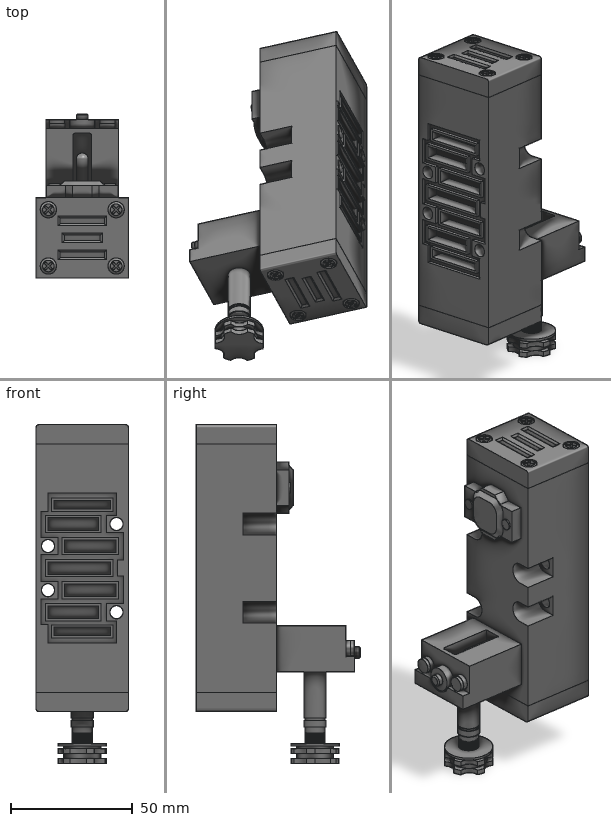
import cadquery as cq
import math

body_width = 38.0
body_depth = 33.2
body_height = 118.0
total_height = 139.4
cap_height = 8.0
cap_edge_radius = 1.3
half_height = body_height / 2
housing_height = body_height - 2 * cap_height

cap_screw_x = 14.0
cap_screw_y = (5.0, 28.1)
cap_screw_recess_radius = 3.3
cap_screw_head_radius = 2.4
cap_screw_depth = 0.7
cross_slot_width = 0.8
cross_slot_length = 3.9
cross_slot_depth = 0.7
label_pockets = [(19.8, 23.5), (16.5, 16.6), (19.8, 9.6)]
label_pocket_width = 3.9
label_pocket_depth = 0.8
label_pocket_taper = 45

row_pitch = 9.0
groove_depth = 1.5
groove_top = 30.8
groove_narrow_x = 14.1
groove_wide_x = 16.9
groove_step_z = 23.3
island_half_height = 3.55
island_inner_x = 9.9
notch_x = 14.5
notch_half_height = 3.3
port_depth = 5.6
frame_wall = 1.0
frame_height = 7.1
end_frame_z = 26.0
end_frame_height = 5.5
end_frame_x = 12.5
left_frame_x = (-15.0, 7.7)
right_frame_x = (-8.2, 14.9)
middle_frame_x = (-15.0, 12.7)
mount_hole_x = 14.1
mount_hole_radius = 2.6
scallop_radius = 4.5
scallop_depth = 13.8
right_hole_z = (2 * row_pitch, -2 * row_pitch)
left_hole_z = (row_pitch, -row_pitch)

cover_z = 33.0
cover_thickness = 5.0
cover_half_width = 14.6
cover_ear_half_height = 7.2
cover_half_height = 10.6
cover_lobe_flat = 4.0
cover_lobe_base = 7.0
crown_base_width = 18.4
crown_base_radius = 5.5
crown_top_width = 14.5
crown_top_radius = 4.6
crown_height = 1.8
cover_screw_x = 11.4
cover_screw_radius = 2.2
cover_screw_height = 0.7

block_half_width = 14.9
block_top_z = -23.7
block_bottom_z = -42.6
block_depth = 28.4
ledge_depth = 3.6
ledge_top_z = -36.4
block_slot_width = 7.5
block_slot_start = 2.8
block_slot_end = 26.5
block_slot_depth = 11.1
block_slot_corner = 1.0
pin_z = -28.8
pin_radius = 2.44
pin_length = 15.9
boss_z = -34.7
boss_radius = 5.0
boss_clearance = 0.5
button_radius = 2.4
button_height = 2.4
button_chamfer = 0.5
block_screw_x = 10.3
block_screw_z = -32.9
block_washer_radius = 3.2
block_washer_height = 2.0
block_screw_radius = 3.0
block_screw_height = 1.4

connector_y = body_depth + 15.7
connector_bottom_z = half_height - total_height
sleeve_radius = 4.6
sleeve_bottom_z = -61.6
sleeve_groove_width = 1.0
collar_height = 2.8
neck_radius = 4.2
thread_top_z = -67.7
thread_root_radius = 3.6
thread_pitch = 0.8
thread_count = 5
flange_radius = 9.96
flange_top_z = -72.2
flange_height = 1.0
knob_core_radius = 7.7
knob_plate_height = 2.1
knob_plate_gap = 2.0
knob_lobe_count = 6
knob_lobe_half_angle = 10
knob_lobe_angle = 20


def plate(width, z_min, z_max, y_min, y_max):
    """Box centred on X between the given Y and Z limits."""
    return (
        cq.Workplane("XY")
        .box(width, y_max - y_min, z_max - z_min, centered=(True, False, False))
        .translate((0, y_min, z_min))
    )


def rod_y(x, z, y_start, radius, length):
    """Cylinder running in +Y from y_start."""
    axis = cq.Vector(0, 1, 0)
    return cq.Workplane(cq.Solid.makeCylinder(radius, length, cq.Vector(x, y_start, z), axis))


def disc_z(z_bottom, radius, height):
    """Cylinder on the connector axis."""
    return cq.Workplane("XY", origin=(0, connector_y, z_bottom)).circle(radius).extrude(height)


def front_prism(outline, y_start, depth):
    """Closed XZ outline extruded in +Y from y_start."""
    return cq.Workplane("XZ", origin=(0, y_start, 0)).polyline(outline).close().extrude(-depth)


def front_box(x_limits, z, height, depth):
    """Box sunk from the port face, centred on height z."""
    x_min, x_max = x_limits
    box = cq.Workplane("XY").box(x_max - x_min, depth, height, centered=(False, False, True))
    return box.translate((x_min, 0, z))


def port_frames():
    """X limits, centre height and height of every rectangular port frame."""
    frames = [(middle_frame_x, 0, frame_height)]
    for side in (1, -1):
        frames.append((right_frame_x, side * row_pitch, frame_height))
        frames.append((left_frame_x, side * 2 * row_pitch, frame_height))
        frames.append(((-end_frame_x, end_frame_x), side * end_frame_z, end_frame_height))
    return frames


def gasket_groove():
    """Stepped recess of the port face, leaving the frames and hole islands standing."""
    right_half = [
        (groove_narrow_x, groove_top),
        (groove_narrow_x, 2 * row_pitch + island_half_height),
        (island_inner_x, 2 * row_pitch + island_half_height),
        (island_inner_x, 2 * row_pitch - island_half_height),
        (groove_wide_x, 2 * row_pitch - island_half_height),
        (groove_wide_x, notch_half_height),
        (notch_x, notch_half_height),
    ]
    left_half = [
        (-groove_narrow_x, groove_top),
        (-groove_narrow_x, groove_step_z),
        (-groove_wide_x, groove_step_z),
        (-groove_wide_x, row_pitch + island_half_height),
        (-island_inner_x, row_pitch + island_half_height),
        (-island_inner_x, row_pitch - island_half_height),
        (-groove_wide_x, row_pitch - island_half_height),
    ]
    right_side = right_half + [(x, -z) for x, z in reversed(right_half)]
    left_side = [(x, -z) for x, z in left_half] + left_half[::-1]
    groove = front_prism(right_side + left_side, 0, groove_depth)
    for x_limits, z, height in port_frames():
        groove = groove.cut(front_box(x_limits, z, height, groove_depth))
    return groove


def port_pocket(x_limits, z, height):
    inner_x = (x_limits[0] + frame_wall, x_limits[1] - frame_wall)
    return front_box(inner_x, z, height - 2 * frame_wall, port_depth)


def mounting_hole(side, z):
    """Through hole with a round-ended scallop that opens to the side and the back."""
    x = side * mount_hole_x
    scallop_start = body_depth - scallop_depth
    opening = body_width / 2 - mount_hole_x
    slot = cq.Workplane("XY").box(opening, scallop_depth, 2 * scallop_radius, centered=(True, False, True))
    slot = slot.translate((x + side * opening / 2, scallop_start, z))
    hole = rod_y(x, z, 0, mount_hole_radius, body_depth)
    return hole.union(rod_y(x, z, scallop_start, scallop_radius, scallop_depth)).union(slot)


def make_housing():
    housing = plate(body_width, -housing_height / 2, housing_height / 2, 0, body_depth)
    housing = housing.cut(gasket_groove())
    for x_limits, z, height in port_frames():
        housing = housing.cut(port_pocket(x_limits, z, height))
    for side, heights in ((1, right_hole_z), (-1, left_hole_z)):
        for z in heights:
            housing = housing.cut(mounting_hole(side, z))
    return housing


def cap_screw_cut(x, y):
    """Ring recess around a screw head with a sloping flank, and the cross slot in the head."""
    flank = [
        (cap_screw_head_radius, 0),
        (cap_screw_recess_radius, 0),
        (cap_screw_recess_radius, -cap_screw_depth),
    ]
    top = cq.Workplane("XY", origin=(x, y, half_height))
    ring = cq.Workplane("XZ").polyline(flank).close().revolve(360, (0, 0), (0, 1))
    cut = ring.translate((x, y, half_height))
    for angle in (45, -45):
        bar = top.transformed(rotate=(0, 0, angle)).rect(cross_slot_length, cross_slot_width)
        cut = cut.union(bar.extrude(-cross_slot_depth))
    return cut


def make_top_cap():
    cap = plate(body_width, housing_height / 2, half_height, 0, body_depth)
    cap = cap.edges("|Y and >Z").fillet(cap_edge_radius)
    for x in (-cap_screw_x, cap_screw_x):
        for y in cap_screw_y:
            cap = cap.cut(cap_screw_cut(x, y))
    for length, y in label_pockets:
        outline = cq.Workplane("XY", origin=(0, y, half_height)).rect(length, label_pocket_width)
        cap = cap.cut(outline.extrude(-label_pocket_depth, taper=label_pocket_taper))
    return cap


def make_cover():
    """Eared plate with a tapered round-cornered crown and two screw heads."""
    upper = [
        (-cover_half_width, cover_ear_half_height),
        (-cover_lobe_base, cover_ear_half_height),
        (-cover_lobe_flat, cover_half_height),
        (cover_lobe_flat, cover_half_height),
        (cover_lobe_base, cover_ear_half_height),
        (cover_half_width, cover_ear_half_height),
    ]
    outline = upper + [(x, -z) for x, z in reversed(upper)]
    cover = front_prism(outline, 0, cover_thickness)
    base = cq.Sketch().rect(crown_base_width, crown_base_width).vertices().fillet(crown_base_radius)
    top = cq.Sketch().rect(crown_top_width, crown_top_width).vertices().fillet(crown_top_radius)
    crown = cq.Workplane("XZ", origin=(0, cover_thickness, 0))
    crown = crown.placeSketch(base, top.moved(cq.Location(cq.Vector(0, 0, -crown_height)))).loft()
    cover = cover.union(crown)
    for x in (-cover_screw_x, cover_screw_x):
        cover = cover.union(rod_y(x, 0, cover_thickness, cover_screw_radius, cover_screw_height))
    return cover.translate((0, body_depth, cover_z))


def make_pin():
    """Pin with a round tip, pointing in +Y along the slot."""
    tip = cq.Workplane("XY").sphere(pin_radius).translate((0, pin_length, 0))
    pin = rod_y(0, 0, 0, pin_radius, pin_length).union(tip)
    return pin.translate((0, body_depth, pin_z))


def make_block():
    back = body_depth + block_depth
    block = plate(2 * block_half_width, block_bottom_z, block_top_z, body_depth, back)

    ledge = plate(2 * block_half_width, block_bottom_z, ledge_top_z, back, back + ledge_depth)
    ledge = ledge.cut(rod_y(0, boss_z, back, boss_radius + boss_clearance, ledge_depth))
    block = block.union(ledge)

    slot_start = body_depth + block_slot_start
    slot_floor_z = block_top_z - block_slot_depth
    slot = plate(block_slot_width, slot_floor_z, block_top_z, slot_start, body_depth + block_slot_end)
    slot = slot.edges("|Z and >Y").fillet(block_slot_corner)
    block = block.cut(slot).union(make_pin())

    button = rod_y(0, boss_z, back + ledge_depth, button_radius, button_height)
    button = button.faces(">Y").chamfer(button_chamfer)
    block = block.union(rod_y(0, boss_z, back, boss_radius, ledge_depth)).union(button)

    for x in (-block_screw_x, block_screw_x):
        block = block.union(rod_y(x, block_screw_z, back, block_washer_radius, block_washer_height))
        head_start = back + block_washer_height
        block = block.union(rod_y(x, block_screw_z, head_start, block_screw_radius, block_screw_height))
    return block


def lobed_plate(z_bottom):
    """Round plate with concave scallops between its lobes."""
    pitch = 360 / knob_lobe_count

    def rim(angle, radius):
        turn = math.radians(angle)
        return (radius * math.sin(turn), -radius * math.cos(turn))

    start = knob_lobe_angle - knob_lobe_half_angle
    outline = cq.Workplane("XY", origin=(0, connector_y, z_bottom)).moveTo(*rim(start, flange_radius))
    for index in range(knob_lobe_count):
        centre = knob_lobe_angle + index * pitch
        lobe_end = rim(centre + knob_lobe_half_angle, flange_radius)
        next_lobe = rim(centre + pitch - knob_lobe_half_angle, flange_radius)
        outline = outline.threePointArc(rim(centre, flange_radius), lobe_end)
        outline = outline.threePointArc(rim(centre + pitch / 2, knob_core_radius), next_lobe)
    return outline.close().extrude(knob_plate_height)


def make_connector():
    collar_top = sleeve_bottom_z - sleeve_groove_width
    connector = disc_z(sleeve_bottom_z, sleeve_radius, block_bottom_z - sleeve_bottom_z)
    connector = connector.union(disc_z(collar_top - collar_height, sleeve_radius, collar_height))
    connector = connector.union(disc_z(thread_top_z, neck_radius, sleeve_bottom_z - thread_top_z))

    connector = connector.union(disc_z(flange_top_z, thread_root_radius, thread_top_z - flange_top_z))
    for index in range(thread_count):
        ridge_z = thread_top_z - (index + 1) * thread_pitch
        connector = connector.union(disc_z(ridge_z, neck_radius, thread_pitch / 2))

    flange_bottom = flange_top_z - flange_height
    connector = connector.union(disc_z(flange_bottom, flange_radius, flange_height))
    core_height = flange_bottom - connector_bottom_z
    connector = connector.union(disc_z(connector_bottom_z, knob_core_radius, core_height))
    for index in range(2):
        plate_z = connector_bottom_z + index * (knob_plate_height + knob_plate_gap)
        connector = connector.union(lobed_plate(plate_z))
    return connector


housing = make_housing()
top_cap = make_top_cap()
bottom_cap = top_cap.mirror("XY")
cover = make_cover()
block = make_block()
connector = make_connector()

result = cq.Compound.makeCompound(
    [
        housing.val(),
        top_cap.val(),
        bottom_cap.val(),
        cover.val(),
        block.val(),
        connector.val(),
    ]
)